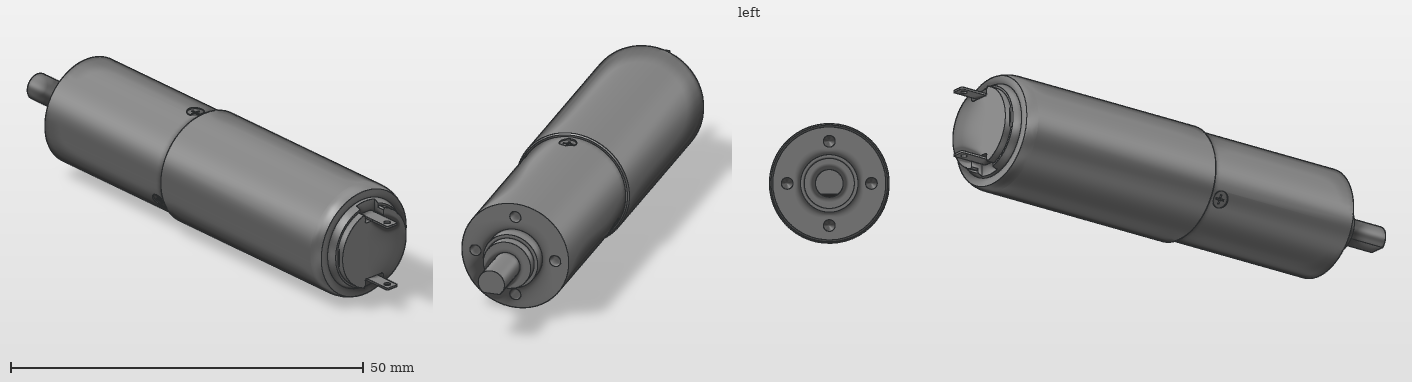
import cadquery as cq

SHAFT_FLAT_END = 5.75
BUSHING_START = 6.9
PILOT_START = 8.4
GEARBOX_START = 10.5
CAN_START = 35.6
CAN_TAPER_START = 67.75
CAN_END = 69.6
CAP_RIM_END = 70.7
CAP_END = 71.85
TERMINAL_END = 75.7

SHAFT_RADIUS = 2.0
BUSHING_RADIUS = 3.55
PILOT_RADIUS = 4.1
GEARBOX_RADIUS = 8.0
CAN_DIAMETER = 17.0
CAN_RADIUS = CAN_DIAMETER / 2
CAN_END_RADIUS = 8.1
CAP_RIM_RADIUS = 6.9
CAP_RIM_END_RADIUS = 6.35
CAP_RADIUS = 6.05
CAN_CHAMFER = 0.2

SHAFT_FLAT_HEIGHT = 1.5

MOUNT_HOLE_COUNT = 4
MOUNT_HOLE_CIRCLE_RADIUS = 6.0
MOUNT_HOLE_RADIUS = 0.8
MOUNT_HOLE_DEPTH = 3.0
DRILL_TIP_DEPTH = 0.45

SCREW_COUNT = 3
SCREW_X = 33.7
SCREW_DIAMETER = 2.5
SCREW_FACE_HEIGHT = 7.8
CROSS_LENGTH = 1.4
CROSS_WIDTH = 0.2
CROSS_DEPTH = 0.3

TERMINAL_HEIGHT = 4.85
TERMINAL_WIDTH = 2.0
TERMINAL_THICKNESS = 0.3
TERMINAL_CORNER = 0.15
TERMINAL_HOLE_RADIUS = 0.45
TERMINAL_HOLE_X = 74.6
NOTCH_START = 69.95
NOTCH_WIDTH = 3.4
NOTCH_FLOOR = 4.4
NOTCH_CORNER = 0.2
NOTCH_FLARE = 0.2
NOTCH_FLARE_HEIGHT = 5.45

SIDE_GROOVE_WIDTH = 0.3
SIDE_GROOVE_FLOOR = 5.9


def box(x_range, y_range, z_range):
    """Axis-aligned box between the given limits."""
    limits = (x_range, y_range, z_range)
    sizes = [high - low for low, high in limits]
    corner = tuple(low for low, high in limits)
    return cq.Workplane("XY").box(*sizes, centered=False).translate(corner)


def turned_body():
    """Shaft, bushing, pilot, gearbox, motor can and end cap as one revolved profile."""
    profile = (
        cq.Workplane("XY")
        .moveTo(0, 0)
        .lineTo(0, SHAFT_RADIUS)
        .lineTo(BUSHING_START, SHAFT_RADIUS)
        .lineTo(BUSHING_START, BUSHING_RADIUS)
        .lineTo(PILOT_START, BUSHING_RADIUS)
        .lineTo(PILOT_START, PILOT_RADIUS)
        .lineTo(GEARBOX_START, PILOT_RADIUS)
        .lineTo(GEARBOX_START, GEARBOX_RADIUS)
        .lineTo(CAN_START, GEARBOX_RADIUS)
        .lineTo(CAN_START, CAN_RADIUS - CAN_CHAMFER)
        .lineTo(CAN_START + CAN_CHAMFER, CAN_RADIUS)
        .lineTo(CAN_TAPER_START, CAN_RADIUS)
        .tangentArcPoint((CAN_END, CAN_END_RADIUS), relative=False)
        .lineTo(CAN_END, CAP_RIM_RADIUS)
        .lineTo(CAP_RIM_END, CAP_RIM_END_RADIUS)
        .lineTo(CAP_RIM_END, CAP_RADIUS)
        .lineTo(CAP_END, CAP_RADIUS)
        .lineTo(CAP_END, 0)
        .close()
    )
    return profile.revolve(360, (0, 0, 0), (1, 0, 0))


def shaft_flat_cutter():
    """Material below the shaft flat, with a 45 degree run-out at its inner end."""
    depth = SHAFT_RADIUS - SHAFT_FLAT_HEIGHT
    return (
        cq.Workplane("XZ")
        .polyline([
            (0, -SHAFT_FLAT_HEIGHT),
            (SHAFT_FLAT_END, -SHAFT_FLAT_HEIGHT),
            (SHAFT_FLAT_END + depth, -SHAFT_RADIUS),
            (0, -SHAFT_RADIUS),
        ])
        .close()
        .extrude(SHAFT_RADIUS, both=True)
    )


def mount_hole_cutters():
    """Drilled holes with conical bottoms, equally spaced on their pitch circle."""
    drill = (
        cq.Workplane("XY")
        .polyline([
            (0, 0),
            (0, MOUNT_HOLE_RADIUS),
            (MOUNT_HOLE_DEPTH, MOUNT_HOLE_RADIUS),
            (MOUNT_HOLE_DEPTH + DRILL_TIP_DEPTH, 0),
        ])
        .close()
        .revolve(360, (0, 0, 0), (1, 0, 0))
        .translate((GEARBOX_START, 0, MOUNT_HOLE_CIRCLE_RADIUS))
    )
    pitch = 360 / MOUNT_HOLE_COUNT
    return [drill.rotate((0, 0, 0), (1, 0, 0), i * pitch) for i in range(MOUNT_HOLE_COUNT)]


def screw_cutters():
    """Flat screw faces sunk in the gearbox wall, each with a cross slot."""
    face = cq.Workplane("XY", origin=(SCREW_X, 0, SCREW_FACE_HEIGHT))
    head = face.circle(SCREW_DIAMETER / 2).extrude(GEARBOX_RADIUS - SCREW_FACE_HEIGHT)
    slot_along = face.rect(CROSS_LENGTH, CROSS_WIDTH).extrude(-CROSS_DEPTH)
    slot_across = face.rect(CROSS_WIDTH, CROSS_LENGTH).extrude(-CROSS_DEPTH)
    cutter = head.union(slot_along).union(slot_across)
    pitch = 360 / SCREW_COUNT
    return [cutter.rotate((0, 0, 0), (1, 0, 0), i * pitch) for i in range(SCREW_COUNT)]


def notch_cutter():
    """Notch that clears a terminal, with its mouth flared where it crosses the end cap."""
    notch = box(
        (NOTCH_START, CAP_END),
        (-NOTCH_WIDTH / 2, NOTCH_WIDTH / 2),
        (NOTCH_FLOOR, CAP_RIM_RADIUS),
    )
    notch = notch.edges("|X and <Z").chamfer(NOTCH_CORNER)
    wall = NOTCH_WIDTH / 2
    flared_wall = wall + NOTCH_FLARE
    flare_top = NOTCH_FLARE_HEIGHT + NOTCH_FLARE
    flare = (
        cq.Workplane("YZ", origin=(CAP_RIM_END, 0, 0))
        .polyline([
            (-wall, NOTCH_FLARE_HEIGHT),
            (wall, NOTCH_FLARE_HEIGHT),
            (flared_wall, flare_top),
            (flared_wall, CAP_RIM_RADIUS),
            (-flared_wall, CAP_RIM_RADIUS),
            (-flared_wall, flare_top),
        ])
        .close()
        .extrude(CAP_END - CAP_RIM_END)
    )
    return notch.union(flare)


def side_groove_cutter():
    """Groove just behind the cap rim on the +Y side of the end cap."""
    return box(
        (CAP_RIM_END, CAP_RIM_END + SIDE_GROOVE_WIDTH),
        (SIDE_GROOVE_FLOOR, CAP_RIM_RADIUS),
        (-CAP_RADIUS, CAP_RADIUS),
    )


def terminal():
    """Upper solder tag with rounded outer corners and a wire hole."""
    tag = box(
        (CAN_END, TERMINAL_END),
        (-TERMINAL_WIDTH / 2, TERMINAL_WIDTH / 2),
        (TERMINAL_HEIGHT - TERMINAL_THICKNESS / 2, TERMINAL_HEIGHT + TERMINAL_THICKNESS / 2),
    )
    tag = tag.edges("|Z and >X").fillet(TERMINAL_CORNER)
    hole = (
        cq.Workplane("XY", origin=(TERMINAL_HOLE_X, 0, TERMINAL_HEIGHT))
        .circle(TERMINAL_HOLE_RADIUS)
        .extrude(TERMINAL_THICKNESS, both=True)
    )
    return tag.cut(hole)


result = turned_body().cut(shaft_flat_cutter())

for hole in mount_hole_cutters():
    result = result.cut(hole)

for screw in screw_cutters():
    result = result.cut(screw)

upper_notch = notch_cutter()
result = result.cut(upper_notch).cut(upper_notch.mirror("XY"))

side_groove = side_groove_cutter()
result = result.cut(side_groove).cut(side_groove.mirror("XZ"))

upper_terminal = terminal()
result = result.union(upper_terminal).union(upper_terminal.mirror("XY"))